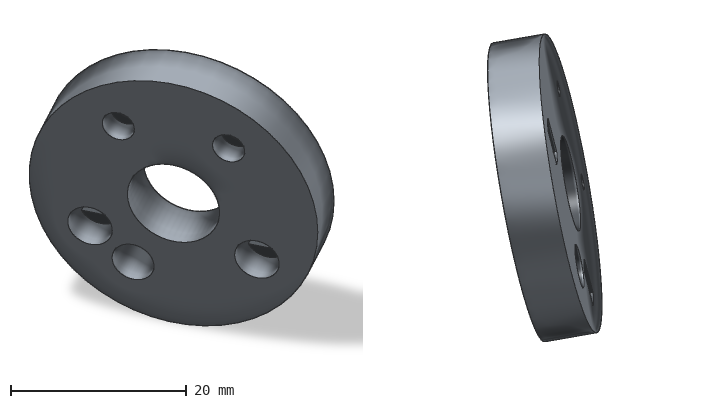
import cadquery as cq

disc_diameter = 34.55
thickness = 6.0
bore_diameter = 11.02

screw_x = 6.6
screw_z = 9.57
screw_diameter = 1.8
screw_head_diameter = 3.85
screw_head_depth = thickness / 2

pocket_x = 10.0
pocket_z = -5.7
pocket_diameter = 5.32
pocket_floor = 2.0
pocket_depth = thickness - pocket_floor
opening_height = 2.6

side_hole_x = -4.85
side_hole_z = -9.68
side_hole_diameter = 5.0

front_y = -thickness / 2


def cylinder(x, z, diameter, depth):
    """Cylinder running from the front face into the disc."""
    plane = cq.Workplane("XZ", origin=(x, front_y, z))
    return plane.circle(diameter / 2).extrude(-depth)


def screw_hole(x):
    shank = cylinder(x, screw_z, screw_diameter, thickness)
    head = cylinder(x, screw_z, screw_head_diameter, screw_head_depth)
    return shank.union(head)


def slotted_pocket(x):
    pocket = cylinder(x, pocket_z, pocket_diameter, pocket_depth)
    slab = cq.Workplane("XY").box(pocket_diameter, thickness, opening_height)
    slab = slab.translate((x, 0, pocket_z))
    opening = cylinder(x, pocket_z, pocket_diameter, thickness).intersect(slab)
    return pocket.union(opening)


result = cylinder(0, 0, disc_diameter, thickness)
result = result.cut(cylinder(0, 0, bore_diameter, thickness))
result = result.cut(cylinder(side_hole_x, side_hole_z, side_hole_diameter, thickness))

for side in (-1, 1):
    result = result.cut(screw_hole(side * screw_x))
    result = result.cut(slotted_pocket(side * pocket_x))